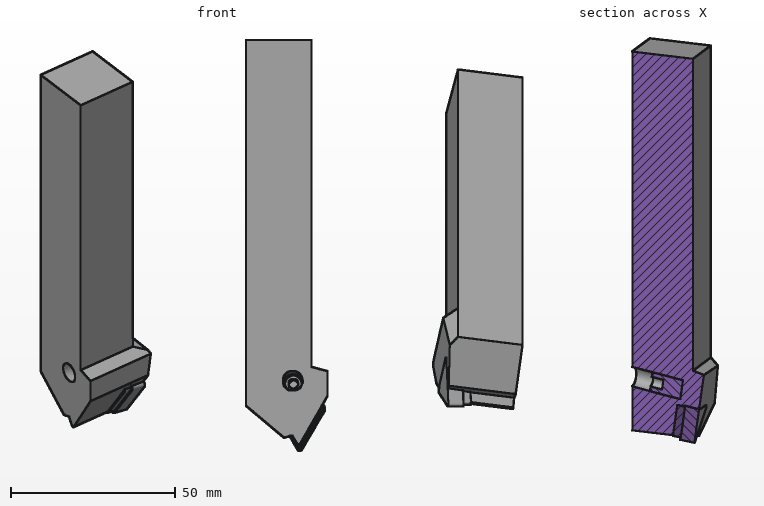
import cadquery as cq
import math

SHANK_SIZE = 20.0
TOTAL_LENGTH = 125.1

HEAD_WIDTH = 24.9
HEAD_SHOULDER_Z = 25.6
SHOULDER_SLOPE = math.tan(math.radians(15))
HEEL_Z = 13.8
TOE_X = 11.6
TOE_Z = 4.0
NOTCH_X = 14.1
NOTCH_Z = 4.8
SIDE_END_Z = 16.8
NOSE_Z = 2.1
EDGE_SLOPE = math.tan(math.radians(60))
HEAD_STOCK = 30.0
TRIM_SIZE = 125.1

TIP_X = 16.4
TIP_Y = SHANK_SIZE
BACK_RAKE = math.tan(math.radians(8.1))
SIDE_RAKE = math.tan(math.radians(1.7))

INSERT_IN_RADIUS = 4.8
INSERT_THICKNESS = 4.8
NOSE_RADIUS = 0.8
SHIM_SETBACK = 0.4
SHIM_THICKNESS = 2.4

SCREW_X = 14.3
SCREW_Z = 21.4
SCREW_DIAMETER = 6.0
SCREW_END_DIAMETER = 5.0
SCREW_RECESS = 6.3
SCREW_LENGTH = 10.0
SOCKET_DIAMETER = 3.0
SOCKET_DEPTH = 3.8
BORE_LEAD = 2.5

INTO_HEAD = cq.Vector(-SIDE_RAKE, -1, BACK_RAKE).normalized()
ACROSS = cq.Vector(1, -SIDE_RAKE, 0)
RAKE_PLANE = cq.Plane(origin=(TIP_X, TIP_Y, 0), xDir=ACROSS, normal=INTO_HEAD)


def rounded_triangle(setback, depth, thickness):
    """Triangle pointing down, its sides moved in by setback, starting at depth below the rake plane."""
    in_radius = INSERT_IN_RADIUS - setback
    center_height = 2 * INSERT_IN_RADIUS - NOSE_RADIUS
    half_side = math.sqrt(3) * in_radius
    corners = [
        (0, center_height - 2 * in_radius),
        (half_side, center_height + in_radius),
        (-half_side, center_height + in_radius),
    ]
    return (
        cq.Workplane(RAKE_PLANE)
        .workplane(offset=depth)
        .polyline(corners)
        .close()
        .extrude(thickness)
        .edges(cq.selectors.ParallelDirSelector(INTO_HEAD))
        .fillet(NOSE_RADIUS)
    )


def screw_plane(depth):
    """Plane across the screw axis, at a depth behind the front face, facing into the head."""
    axis = INTO_HEAD * -1
    start = cq.Vector(SCREW_X, 0, SCREW_Z) + axis * depth
    return cq.Plane(origin=start, xDir=ACROSS, normal=axis)


def make_screw():
    chamfer = (SCREW_DIAMETER - SCREW_END_DIAMETER) / 2
    end_plane = screw_plane(SCREW_RECESS)
    body = cq.Workplane(end_plane).circle(SCREW_DIAMETER / 2).extrude(SCREW_LENGTH)
    body = body.faces(cq.selectors.DirectionMinMaxSelector(INTO_HEAD)).chamfer(chamfer)
    socket = cq.Workplane(end_plane).circle(SOCKET_DIAMETER / 2).extrude(SOCKET_DEPTH)
    return body.cut(socket)


def make_head():
    """Front, side and plan outlines intersected, then trimmed by the rake plane."""
    shoulder_top = HEAD_SHOULDER_Z + SHANK_SIZE * SHOULDER_SLOPE
    nose_right_x = HEAD_WIDTH - (SIDE_END_Z - NOSE_Z) / EDGE_SLOPE
    nose_left_x = NOTCH_X + (NOTCH_Z - NOSE_Z) / EDGE_SLOPE
    front_outline = [
        (0, shoulder_top),
        (HEAD_WIDTH, HEAD_SHOULDER_Z - (HEAD_WIDTH - SHANK_SIZE) * SHOULDER_SLOPE),
        (HEAD_WIDTH, SIDE_END_Z),
        (nose_right_x, NOSE_Z),
        (nose_left_x, NOSE_Z),
        (NOTCH_X, NOTCH_Z),
        (TOE_X, TOE_Z),
        (0, HEEL_Z),
    ]
    side_outline = [
        (0, 0),
        (HEAD_STOCK, 0),
        (HEAD_STOCK, HEAD_SHOULDER_Z - (HEAD_STOCK - SHANK_SIZE) * SHOULDER_SLOPE),
        (0, shoulder_top),
    ]
    plan_outline = [
        (0, 0),
        (HEAD_STOCK, 0),
        (HEAD_STOCK, HEAD_STOCK),
        (HEAD_STOCK - SHANK_SIZE, HEAD_STOCK),
        (0, SHANK_SIZE),
    ]
    front = cq.Workplane("XZ").polyline(front_outline).close().extrude(-HEAD_STOCK)
    side = cq.Workplane("YZ").polyline(side_outline).close().extrude(HEAD_STOCK)
    plan = cq.Workplane("XY").polyline(plan_outline).close().extrude(shoulder_top)
    above_rake = cq.Workplane(RAKE_PLANE).rect(TRIM_SIZE, TRIM_SIZE).extrude(-HEAD_STOCK)
    return front.intersect(side).intersect(plan).cut(above_rake)


def make_holder():
    shank = (
        cq.Workplane("XY")
        .workplane(offset=HEAD_SHOULDER_Z)
        .rect(SHANK_SIZE, SHANK_SIZE, centered=False)
        .extrude(TOTAL_LENGTH - HEAD_SHOULDER_Z)
    )
    bore_depth = BORE_LEAD + SCREW_RECESS + SCREW_LENGTH
    bore = cq.Workplane(screw_plane(-BORE_LEAD)).circle(SCREW_DIAMETER / 2).extrude(bore_depth)
    return make_head().union(shank).cut(bore)


insert = rounded_triangle(0, 0, INSERT_THICKNESS)
shim = rounded_triangle(SHIM_SETBACK, INSERT_THICKNESS, SHIM_THICKNESS)
screw = make_screw()
holder = make_holder().cut(insert).cut(shim)

bodies = [holder, insert, shim, screw]
result = cq.Compound.makeCompound([body.solids().val() for body in bodies])